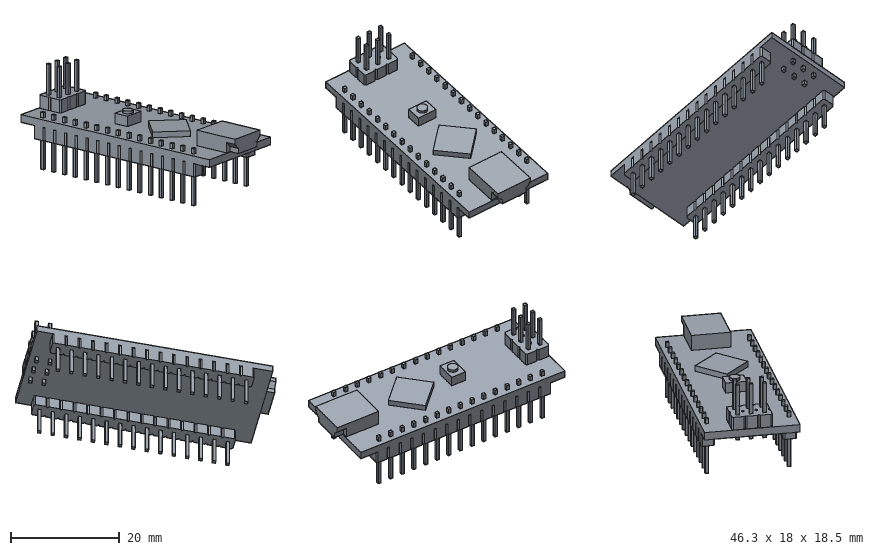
import cadquery as cq


BOARD_LENGTH = 44.5
BOARD_WIDTH = 18.0
BOARD_THICKNESS = 1.5

PITCH = 2.54
BLOCK_HEIGHT = 2.54
BLOCK_CHAMFER = 0.27
PIN_SIDE = 0.6
PIN_REACH = 8.5
PIN_TAIL = 1.0

ROW_PINS = 15
ROW_START_X = 4.2
ROW_Y = (BOARD_WIDTH - PITCH) / 2

PROG_COLUMNS = 2
PROG_ROWS = 3
PROG_INSET = 0.08
PROG_START_X = PITCH / 2 + PROG_INSET

BUTTON_X = 18.45
BUTTON_Y = -0.5
BUTTON_LENGTH = 3.0
BUTTON_WIDTH = 4.0
BUTTON_HEIGHT = 2.0
PLUNGER_DIAMETER = 2.0
PLUNGER_HEIGHT = 0.5

CHIP_X = 27.85
CHIP_SIDE = 7.0
CHIP_HEIGHT = 1.1
CHIP_ANGLE = 45.0

USB_END_X = 46.3
USB_LENGTH = 9.0
USB_WIDTH = 7.4
USB_HEIGHT = 3.0
MOUTH_LENGTH = 2.0
MOUTH_SHOULDER_Z = 2.0
MOUTH_FOOT_Z = 1.0
MOUTH_INSET = 1.0


def build_board():
    return cq.Workplane("XY").box(BOARD_LENGTH, BOARD_WIDTH, BOARD_THICKNESS).translate(
        (BOARD_LENGTH / 2, 0, -BOARD_THICKNESS / 2)
    )


def box_on_board(length, width, height, x, y):
    """Box standing on the board top, centred on (x, y)."""
    return cq.Workplane("XY").box(length, width, height, centered=(True, True, False)).translate((x, y, 0))


def build_header(positions, face_z, direction):
    """Header pins in chamfered square blocks, rising (+1) or hanging (-1) from the board face at face_z."""
    block = (
        cq.Workplane("XY", origin=(0, 0, face_z))
        .rect(PITCH, PITCH)
        .extrude(direction * BLOCK_HEIGHT)
        .edges("|Z")
        .chamfer(BLOCK_CHAMFER)
    )
    tail_z = face_z - direction * (BOARD_THICKNESS + PIN_TAIL)
    pin_length = PIN_TAIL + BOARD_THICKNESS + PIN_REACH
    pin = cq.Workplane("XY", origin=(0, 0, tail_z)).rect(PIN_SIDE, PIN_SIDE).extrude(direction * pin_length)
    unit = block.union(pin)
    return cq.Workplane("XY").pushPoints(positions).eachpoint(unit.val(), combine="a")


def build_long_row(y):
    positions = [(ROW_START_X + i * PITCH, y) for i in range(ROW_PINS)]
    return build_header(positions, -BOARD_THICKNESS, -1)


def build_programming_header():
    positions = [
        (PROG_START_X + column * PITCH, (row - (PROG_ROWS - 1) / 2) * PITCH)
        for column in range(PROG_COLUMNS)
        for row in range(PROG_ROWS)
    ]
    return build_header(positions, 0, 1)


def build_button():
    body = box_on_board(BUTTON_LENGTH, BUTTON_WIDTH, BUTTON_HEIGHT, BUTTON_X, BUTTON_Y)
    return body.faces(">Z").workplane(origin=(BUTTON_X, BUTTON_Y, 0)).circle(PLUNGER_DIAMETER / 2).extrude(
        PLUNGER_HEIGHT
    )


def build_chip():
    chip = box_on_board(CHIP_SIDE, CHIP_SIDE, CHIP_HEIGHT, 0, 0)
    return chip.rotate((0, 0, 0), (0, 0, 1), CHIP_ANGLE).translate((CHIP_X, 0, 0))


def build_usb_socket():
    """Socket body, then a mouth that narrows from its shoulders down to its foot."""
    body_length = USB_LENGTH - MOUTH_LENGTH
    body_end_x = USB_END_X - MOUTH_LENGTH
    body = box_on_board(body_length, USB_WIDTH, USB_HEIGHT, body_end_x - body_length / 2, 0)

    half_width = USB_WIDTH / 2
    half_foot = half_width - MOUTH_INSET
    mouth = (
        cq.Workplane("YZ", origin=(body_end_x, 0, 0))
        .moveTo(-half_foot, 0)
        .lineTo(half_foot, 0)
        .lineTo(half_foot, MOUTH_FOOT_Z)
        .lineTo(half_width, MOUTH_SHOULDER_Z)
        .lineTo(half_width, USB_HEIGHT)
        .lineTo(-half_width, USB_HEIGHT)
        .lineTo(-half_width, MOUTH_SHOULDER_Z)
        .lineTo(-half_foot, MOUTH_FOOT_Z)
        .close()
        .extrude(MOUTH_LENGTH)
    )
    return body.union(mouth)


result = (
    build_board()
    .union(build_long_row(ROW_Y))
    .union(build_long_row(-ROW_Y))
    .union(build_programming_header())
    .union(build_button())
    .union(build_chip())
    .union(build_usb_socket())
)